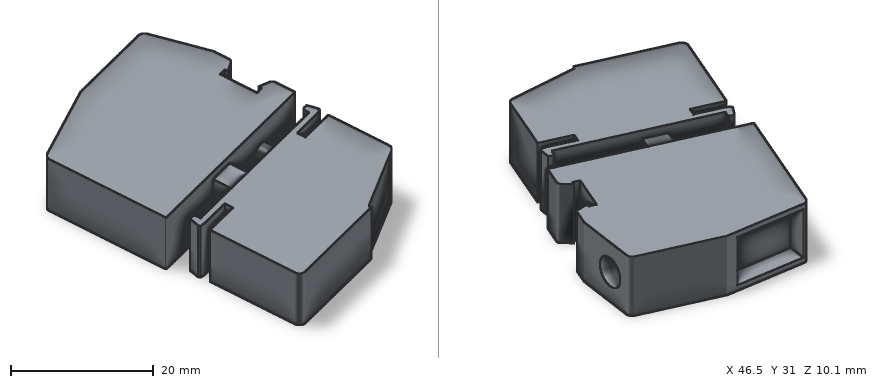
import cadquery as cq
import math

LENGTH = 46.55
WIDTH = 31.0
THICKNESS = 10.1
CORNER_RADIUS = 1.02
MID_Z = THICKNESS / 2

BLOCK_RIGHT = 24.45
BLOCK_EDGE_RADIUS = 0.2
SLANT_ANGLE = 15.0
SLANT = math.tan(math.radians(SLANT_ANGLE))
UPPER_SLANT_X = 10.4
UPPER_SLANT_Y = WIDTH - UPPER_SLANT_X * SLANT
LOWER_SLANT_Y = 13.55
LOWER_SLANT_X = LOWER_SLANT_Y * SLANT

NOTCH_LEFT = 13.83
NOTCH_RIGHT = 20.15
NOTCH_FLOOR_Y = 27.8
LIP_Y = 28.9
LIP_OVERHANG = 0.5
FLANK_RUN = 0.9
FLANK_RADIUS = 0.65

POCKET_TOP_Y = 11.85
POCKET_BOTTOM_Y = 0.8
POCKET_HEIGHT = 8.2
POCKET_DEPTH = 3.0

HOLE_DIAMETER = 4.8
HOLE_Y = 29.4
HOLE_DEPTH = 9.3

PLATE_LEFT = 28.4
PLATE_RIGHT = 29.45
BODY_LEFT = 30.85
BODY_BOTTOM = 1.6
BODY_TOP = 30.0
COVER_MID_Y = (BODY_BOTTOM + BODY_TOP) / 2
SLOT_DEPTH = 5.5
COVER_SLANT_TOP_X = 42.0
COVER_SLANT_END_X = 46.1
COVER_STEP_Y = 18.5

HOOK_LEFT = 27.3
HOOK_TIP_X = 28.95
HOOK_BACK_X = 29.33
HOOK_INNER = 13.05
HOOK_OUTER = 14.0
HOOK_TIP = 14.45
HOOK_BACK_TOP = 14.35
HOOK_BACK = 13.6
HOOK_EDGE_CHAMFER = 0.2

ROUND_PIN_DIAMETER = 3.0
ROUND_PIN_Y = 22.7
FLAT_PIN_BOTTOM = 11.25
FLAT_PIN_TOP = 15.2
FLAT_PIN_HEIGHT = 7.25


def extrude_outline(points):
    return cq.Workplane("XY").polyline(points).close().extrude(THICKNESS)


def round_edge(solid, x, y, radius):
    """Round the vertical edge that stands nearest to (x, y)."""
    edge = cq.selectors.NearestToPointSelector((x, y, MID_Z))
    return solid.edges("|Z").edges(edge).fillet(radius)


def make_block():
    left_flank_top = NOTCH_LEFT + LIP_OVERHANG - FLANK_RUN
    right_flank_top = NOTCH_RIGHT - LIP_OVERHANG + FLANK_RUN
    block = extrude_outline([
        (LOWER_SLANT_X, 0),
        (BLOCK_RIGHT, 0),
        (BLOCK_RIGHT, WIDTH),
        (right_flank_top, WIDTH),
        (NOTCH_RIGHT - LIP_OVERHANG, LIP_Y),
        (NOTCH_RIGHT, LIP_Y),
        (NOTCH_RIGHT, NOTCH_FLOOR_Y),
        (NOTCH_LEFT, NOTCH_FLOOR_Y),
        (NOTCH_LEFT, LIP_Y),
        (NOTCH_LEFT + LIP_OVERHANG, LIP_Y),
        (left_flank_top, WIDTH),
        (UPPER_SLANT_X, WIDTH),
        (0, UPPER_SLANT_Y),
        (0, LOWER_SLANT_Y),
    ])
    block = round_edge(block, LOWER_SLANT_X, 0, CORNER_RADIUS)
    block = round_edge(block, BLOCK_RIGHT, 0, BLOCK_EDGE_RADIUS)
    block = round_edge(block, 0, UPPER_SLANT_Y, CORNER_RADIUS)
    for flank_top in (left_flank_top, right_flank_top):
        block = round_edge(block, flank_top, WIDTH, FLANK_RADIUS)
    return block


def make_pocket():
    """Box sunk square to the lower slanted face."""
    length = (POCKET_TOP_Y - POCKET_BOTTOM_Y) / math.cos(math.radians(SLANT_ANGLE))
    middle_y = (POCKET_TOP_Y + POCKET_BOTTOM_Y) / 2
    middle_x = (LOWER_SLANT_Y - middle_y) * SLANT
    return (
        cq.Workplane("XY")
        .box(2 * POCKET_DEPTH, length, POCKET_HEIGHT)
        .rotate((0, 0, 0), (0, 0, 1), SLANT_ANGLE)
        .translate((middle_x, middle_y, MID_Z))
    )


def make_hole():
    """Cylinder sunk square to the upper slanted face."""
    hole_x = (HOLE_Y - UPPER_SLANT_Y) / SLANT
    return (
        cq.Workplane("XZ")
        .circle(HOLE_DIAMETER / 2)
        .extrude(HOLE_DEPTH, both=True)
        .rotate((0, 0, 0), (0, 0, 1), SLANT_ANGLE)
        .translate((hole_x, HOLE_Y, MID_Z))
    )


def make_cover_body():
    body = extrude_outline([
        (BODY_LEFT, BODY_BOTTOM),
        (LENGTH, BODY_BOTTOM),
        (LENGTH, COVER_STEP_Y),
        (COVER_SLANT_END_X, COVER_STEP_Y),
        (COVER_SLANT_TOP_X, BODY_TOP),
        (BODY_LEFT, BODY_TOP),
    ])
    body = round_edge(body, LENGTH, BODY_BOTTOM, CORNER_RADIUS)
    body = round_edge(body, COVER_SLANT_TOP_X, BODY_TOP, CORNER_RADIUS)
    web_size = (BODY_LEFT - PLATE_LEFT, BODY_TOP - BODY_BOTTOM - 2 * SLOT_DEPTH, THICKNESS)
    web = (
        cq.Workplane("XY")
        .box(*web_size, centered=(False, True, False))
        .translate((PLATE_LEFT, COVER_MID_Y, 0))
    )
    return body.union(web)


def make_clip_half(side):
    """Half of the clip plate with its hook; side is +1 for the top, -1 for the bottom."""
    half_outline = [
        (PLATE_LEFT, 0),
        (PLATE_RIGHT, 0),
        (PLATE_RIGHT, HOOK_BACK),
        (HOOK_BACK_X, HOOK_BACK_TOP),
        (HOOK_TIP_X, HOOK_TIP),
        (HOOK_LEFT, HOOK_OUTER),
        (HOOK_LEFT, HOOK_INNER + HOOK_EDGE_CHAMFER),
        (HOOK_LEFT + HOOK_EDGE_CHAMFER, HOOK_INNER),
        (PLATE_LEFT, HOOK_INNER),
    ]
    return extrude_outline([(x, COVER_MID_Y + side * y) for x, y in half_outline])


def make_pins():
    gap = PLATE_LEFT - BLOCK_RIGHT
    pins = cq.Workplane("YZ", origin=(BLOCK_RIGHT, 0, 0))
    round_pin = pins.center(ROUND_PIN_Y, MID_Z).circle(ROUND_PIN_DIAMETER / 2).extrude(gap)
    flat_pin = (
        cq.Workplane("YZ", origin=(BLOCK_RIGHT, 0, 0))
        .center((FLAT_PIN_BOTTOM + FLAT_PIN_TOP) / 2, MID_Z)
        .rect(FLAT_PIN_TOP - FLAT_PIN_BOTTOM, FLAT_PIN_HEIGHT)
        .extrude(gap)
    )
    return round_pin.union(flat_pin)


block = make_block().cut(make_pocket()).cut(make_hole())
cover = make_cover_body().union(make_clip_half(1)).union(make_clip_half(-1))
result = block.union(make_pins()).union(cover)